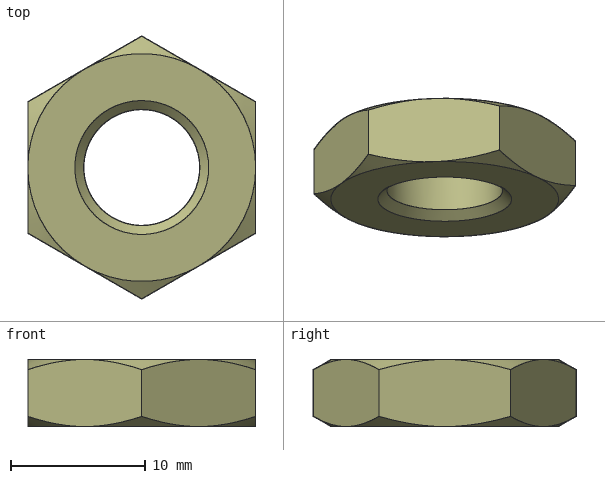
import cadquery as cq
import math

across_corners = 19.63
height = 5.0
bore_diameter = 8.64
countersink_diameter = 10.0
corner_chamfer_angle = 30.0
sides = 6

corner_radius = across_corners / 2
flat_radius = corner_radius * math.cos(math.pi / sides)
corner_drop = (corner_radius - flat_radius) * math.tan(math.radians(corner_chamfer_angle))
bore_radius = bore_diameter / 2
countersink_radius = countersink_diameter / 2
countersink_depth = countersink_radius - bore_radius


def hexagonal_blank():
    """Hexagonal prism with two corners on the Y axis."""
    corner_angles = [math.pi / 2 + 2 * math.pi * i / sides for i in range(sides)]
    corners = [(corner_radius * math.cos(a), corner_radius * math.sin(a)) for a in corner_angles]
    return cq.Workplane("XY").polyline(corners).close().extrude(height)


def turned_envelope():
    """Revolved ring whose cones trim the hexagon corners and countersink the bore at both ends."""
    profile = [
        (countersink_radius, 0),
        (flat_radius, 0),
        (corner_radius, corner_drop),
        (corner_radius, height - corner_drop),
        (flat_radius, height),
        (countersink_radius, height),
        (bore_radius, height - countersink_depth),
        (bore_radius, countersink_depth),
    ]
    return cq.Workplane("XZ").polyline(profile).close().revolve(360, (0, 0, 0), (0, 1, 0))


result = hexagonal_blank().intersect(turned_envelope())